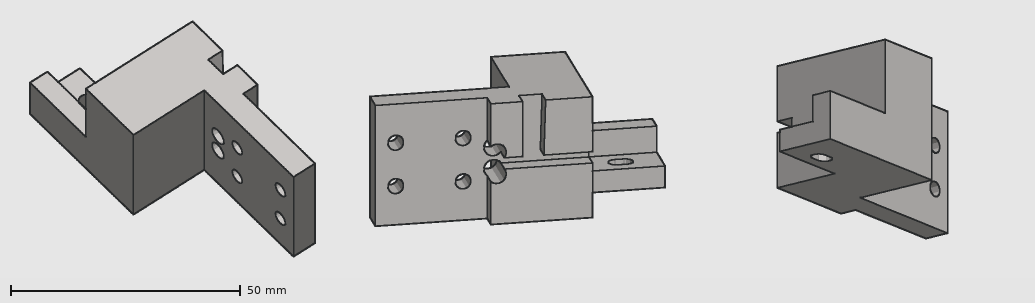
import cadquery as cq

length = 67.0
depth = 29.9
height = 28.0

block_left = 19.4
block_right = 36.0
plate_thickness = 6.0
pad_right = 42.1
pad_thickness = 4.0
plate_back = depth - pad_thickness
plate_front = plate_back - plate_thickness

foot_depth = 14.0
foot_thickness = 5.0
lip_depth = 4.9
lip_height = 11.05

slot_x = 9.0
slot_y = 9.45
slot_length = 5.5
slot_width = 3.5

groove_bottom = 12.65
groove_top = 15.3
notch_left = 29.9
notch_right = 35.05
notch_taper = 0.5

hole_diameter = 3.4
hole_columns = (47.45, 62.45)
hole_spacing = 10.05
pair_diameter = 4.1
pair_x = 40.75
pair_spacing = 5.0


def box(left, right, front, back, bottom, top):
    """Return a box spanning the given limits."""
    size = (right - left, back - front, top - bottom)
    return cq.Workplane("XY").box(*size, centered=False).translate((left, front, bottom))


def plate_holes(x, spacing, diameter):
    """Return two cylinders along Y, spaced equally about mid-height."""
    centers = [(x, height / 2 + side * spacing / 2) for side in (-1, 1)]
    return cq.Workplane("XZ").pushPoints(centers).circle(diameter / 2).extrude(-depth)


def body():
    """Return the block with its plate, back pad and stepped foot."""
    block = box(block_left, block_right, 0, depth, 0, height)
    plate = box(block_right, length, plate_front, plate_back, 0, height)
    pad = box(block_right, pad_right, plate_back, depth, 0, height)
    foot = box(0, block_left, 0, foot_depth, 0, foot_thickness)
    lip = box(0, block_left, 0, lip_depth, 0, lip_height)
    return block.union(plate).union(pad).union(foot).union(lip)


def foot_slot():
    """Return the round-ended cutter through the foot."""
    slot = cq.Workplane("XY").center(slot_x, slot_y).slot2D(slot_length, slot_width)
    return slot.extrude(foot_thickness)


def back_notch():
    """Return the notch from the top to the groove, its left wall sloping inward going down."""
    outline = [
        (notch_left, height),
        (notch_right, height),
        (notch_right, groove_bottom),
        (notch_left + notch_taper, groove_bottom),
    ]
    notch = cq.Workplane("XZ", origin=(0, depth, 0)).polyline(outline).close()
    return notch.extrude(pad_thickness)


groove = box(block_left, pad_right, plate_back, depth, groove_bottom, groove_top)

result = body().cut(foot_slot()).cut(groove).cut(back_notch())
result = result.cut(plate_holes(pair_x, pair_spacing, pair_diameter))
for column_x in hole_columns:
    result = result.cut(plate_holes(column_x, hole_spacing, hole_diameter))